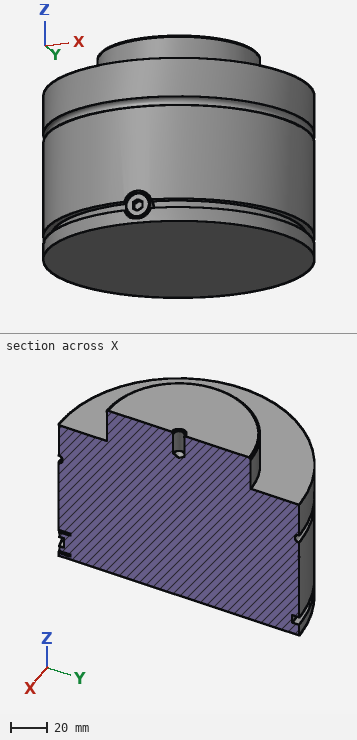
import cadquery as cq
import math

body_diameter = 150.0
body_radius = body_diameter / 2
body_height = 93.9
total_height = 116.0

boss_diameter = 90.0
boss_chamfer = 1.0

round_groove_z = 69.3
round_groove_radius = 2.48

square_groove_bottom = 8.0
square_groove_width = 5.0
square_groove_depth = 4.2

hole_diameter = 6.8
hole_mouth_diameter = 8.5
hole_depth = 15.0
drill_point_angle = 118.0

plug_z = square_groove_bottom + square_groove_width / 2
recess_diameter = 16.0
recess_depth = 7.5
plug_diameter = 14.0
plug_inset = 0.5
plug_chamfer = 0.5
socket_across_flats = 5.5
socket_depth = 3.0


def make_body():
    """Revolve the stepped body with both ring grooves."""
    square_groove_top = square_groove_bottom + square_groove_width
    square_groove_floor = body_radius - square_groove_depth
    profile = (
        cq.Workplane("XZ")
        .lineTo(body_radius, 0)
        .lineTo(body_radius, square_groove_bottom)
        .lineTo(square_groove_floor, square_groove_bottom)
        .lineTo(square_groove_floor, square_groove_top)
        .lineTo(body_radius, square_groove_top)
        .lineTo(body_radius, round_groove_z - round_groove_radius)
        .threePointArc(
            (body_radius - round_groove_radius, round_groove_z),
            (body_radius, round_groove_z + round_groove_radius),
        )
        .lineTo(body_radius, body_height)
        .lineTo(0, body_height)
        .close()
    )
    return profile.revolve(360, (0, 0), (0, 1))


def make_boss():
    """Cylinder on the top face with a chamfered rim."""
    boss = cq.Workplane("XY", origin=(0, 0, body_height))
    boss = boss.circle(boss_diameter / 2).extrude(total_height - body_height)
    return boss.faces(">Z").chamfer(boss_chamfer)


def make_center_hole():
    """Cutter for the blind hole with a 45 degree mouth and a conical end."""
    hole_radius = hole_diameter / 2
    mouth_radius = hole_mouth_diameter / 2
    mouth_depth = mouth_radius - hole_radius
    point_length = hole_radius / math.tan(math.radians(drill_point_angle / 2))
    profile = (
        cq.Workplane("XZ", origin=(0, 0, total_height))
        .lineTo(mouth_radius, 0)
        .lineTo(hole_radius, -mouth_depth)
        .lineTo(hole_radius, -hole_depth)
        .lineTo(0, -hole_depth - point_length)
        .close()
    )
    return profile.revolve(360, (0, 0), (0, 1))


def side_plane(inset):
    """Workplane facing -Y, set inward from the outermost point of the body."""
    return cq.Workplane("XZ", origin=(0, inset - body_radius, plug_z))


def make_plug_recess():
    """Cutter for the round recess that holds the plug."""
    return side_plane(recess_depth).circle(recess_diameter / 2).extrude(recess_depth)


def make_plug():
    """Plug standing on the recess floor, with a hexagon socket in its face."""
    plug = side_plane(recess_depth).circle(plug_diameter / 2).extrude(recess_depth - plug_inset)
    plug = plug.faces("<Y").chamfer(plug_chamfer)
    socket_across_corners = socket_across_flats / math.cos(math.pi / 6)
    socket = (
        side_plane(plug_inset)
        .transformed(rotate=(0, 0, 30))
        .polygon(6, socket_across_corners)
        .extrude(-socket_depth)
    )
    return plug.cut(socket)


result = make_body().union(make_boss())
result = result.cut(make_center_hole())
result = result.cut(make_plug_recess()).union(make_plug())